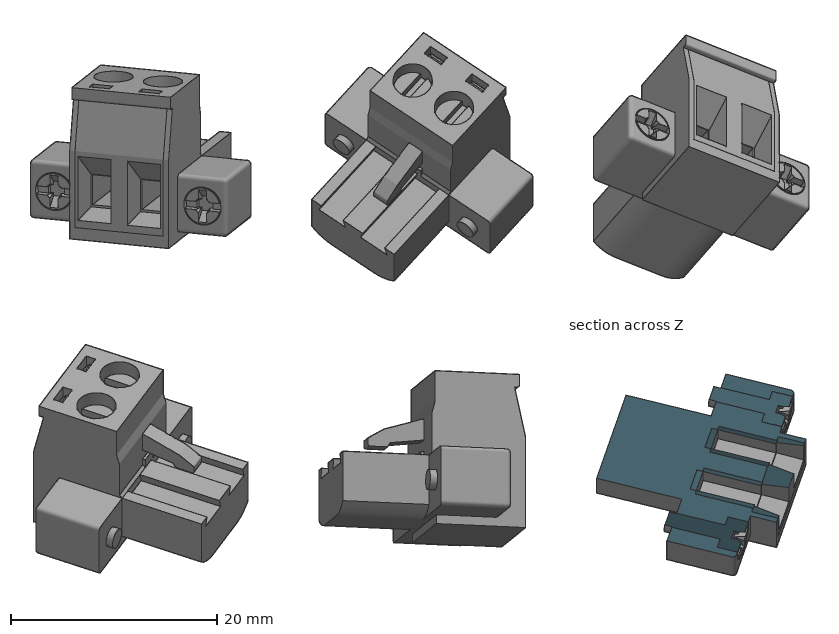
import cadquery as cq
import math

pitch = 5.08
width = 2 * pitch
height = 15.1
half_width = width / 2
terminal_xs = (-pitch / 2, pitch / 2)
flange_screw_xs = (-1.5 * pitch, 1.5 * pitch)

lip_front_y = 0.6
lip_bottom_z = 13.84
lip_radius = 0.2
slope_top_y = 1.1
slope_bottom_z = 8.9
back_top_y = 9.02
back_slope_top_z = 12.0
back_slope_bottom_z = 10.97
back_y = 9.33
base_back_y = 8.9

plug_start_y = 9.61
plug_end_y = 18.2
plug_bottom_z = 0.87
plug_top_z = 6.75
plug_foot = plug_start_y - back_y
plug_round_z = 1.85
groove_inner_x = 1.2
groove_outer_x = 3.9
groove_depth = 0.98
groove_undercut = 0.26

latch_width = 1.67
latch_x = -0.8
latch_bend_y = 13.29
latch_bend_z = 9.8
latch_hook_y = 12.92
latch_hook_root_y = 12.64
latch_hook_root_z = 8.47
latch_root_bottom_z = 8.88
latch_tip_y = 14.9
latch_tip_radius = 0.2
latch_tip_bottom_z = 8.05
latch_tip_top_z = 8.85
rib_top_z = 7.72

flange_front_y = 2.65
flange_radius = 0.4
flange_z = (plug_bottom_z + plug_top_z) / 2

insert_width = 9.06
insert_bottom_z = 1.2
insert_depth = 2.65
tongue_width = 1.63
tongue_top_z = 14.39
tongue_chamfer = 0.49
funnel_mouth_width = 3.37
funnel_mouth_bottom_z = 1.95
funnel_mouth_top_z = 8.41
funnel_throat_width = 2.58
funnel_throat_bottom_z = 2.65
funnel_throat_top_z = 5.95
window_width = 2.05
window_front_y = 1.45
window_back_y = 2.44

screw_diameter = 3.8
screw_y = 5.57
screw_sink = 1.42
screw_top_z = height - screw_sink
screw_edge_radius = 0.22
screw_head_height = 1.63
screw_slot_width = 0.85
screw_slot_depth = 0.81
shank_diameter = 2.0

cage_wall = 0.4
cavity_width = 2.25
cavity_bottom_z = 2.87
cavity_top_z = 5.9
cage_top_wall = 0.81
cage_length = 2 * (screw_y - insert_depth)
cage_back_y = insert_depth + cage_length

contact_thickness = 0.6

flange_head_length = 2.03
flange_edge_chamfer = 0.08
flange_screw_end_y = 10.32
cross_slot_width = 0.83
cross_slot_depth = 0.73
cross_arm_reach = 1.63
recess_depth = 1.04
recess_mouth_half_width = 1.05
recess_floor_half_width = 0.73
recess_corner_mouth = 0.81
recess_corner_floor = 0.59


def box(x_size, y_range, z_range, x=0.0):
    """Box centred on x, spanning the given Y and Z ranges."""
    y0, y1 = y_range
    z0, z1 = z_range
    return cq.Workplane("XY").box(x_size, y1 - y0, z1 - z0).translate((x, (y0 + y1) / 2, (z0 + z1) / 2))


def side_prism(points, x_size, x=0.0):
    """Closed (Y, Z) outline extruded along X and centred on x."""
    return cq.Workplane("YZ").polyline(points).close().extrude(x_size / 2, both=True).translate((x, 0, 0))


def upright(diameter, bottom_z, top_z, x):
    """Vertical cylinder on a terminal screw axis."""
    return cq.Workplane("XY", origin=(x, screw_y, bottom_z)).circle(diameter / 2).extrude(top_z - bottom_z)


def along_y(diameter, start_y, end_y, x):
    """Cylinder on a flange screw axis."""
    plane = cq.Workplane("XZ", origin=(x, start_y, flange_z))
    return plane.circle(diameter / 2).extrude(start_y - end_y)


def make_main_block():
    block = side_prism(
        [
            (0, 0),
            (0, slope_bottom_z),
            (slope_top_y, lip_bottom_z),
            (lip_front_y, lip_bottom_z),
            (lip_front_y, height),
            (back_top_y, height),
            (back_top_y, back_slope_top_z),
            (back_y, back_slope_bottom_z),
            (back_y, plug_top_z + plug_foot),
            (plug_start_y, plug_top_z),
            (plug_start_y, plug_bottom_z),
            (base_back_y, plug_bottom_z),
            (base_back_y, 0),
        ],
        width,
    )
    lip_edge = cq.selectors.NearestToPointSelector((0, lip_front_y, lip_bottom_z))
    return block.edges(lip_edge).fillet(lip_radius)


def make_plug():
    round_x = half_width - pitch / 2
    round_height = plug_round_z - plug_bottom_z
    radius = (round_x**2 + round_height**2) / (2 * round_height)
    mid_angle = math.asin(round_x / radius) / 2
    mid_x = pitch / 2 + radius * math.sin(mid_angle)
    mid_z = plug_bottom_z + radius * (1 - math.cos(mid_angle))
    profile = (
        cq.Workplane("XZ", origin=(0, plug_start_y, 0))
        .moveTo(-half_width, plug_top_z)
        .lineTo(-half_width, plug_round_z)
        .threePointArc((-mid_x, mid_z), (-pitch / 2, plug_bottom_z))
        .lineTo(pitch / 2, plug_bottom_z)
        .threePointArc((mid_x, mid_z), (half_width, plug_round_z))
        .lineTo(half_width, plug_top_z)
        .close()
    )
    plug = profile.extrude(plug_start_y - plug_end_y)
    floor_z = plug_top_z - groove_depth
    for side in (-1, 1):
        groove = (
            cq.Workplane("XZ", origin=(0, plug_start_y, 0))
            .moveTo(side * groove_inner_x, plug_top_z)
            .lineTo(side * groove_outer_x, plug_top_z)
            .lineTo(side * (groove_outer_x + groove_undercut), floor_z)
            .lineTo(side * (groove_inner_x - groove_undercut), floor_z)
            .close()
            .extrude(plug_start_y - plug_end_y)
        )
        plug = plug.cut(groove)
    return plug


def make_latch():
    arm = side_prism(
        [
            (back_y, back_slope_bottom_z),
            (latch_bend_y, latch_bend_z),
            (latch_tip_y, latch_tip_top_z),
            (latch_tip_y, latch_tip_bottom_z),
            (latch_hook_y, latch_tip_bottom_z),
            (latch_hook_root_y, latch_hook_root_z),
            (back_y, latch_root_bottom_z),
        ],
        latch_width,
        latch_x,
    )
    arm = arm.faces(">Y").edges("|X").fillet(latch_tip_radius)
    rib = box(latch_width, (back_y, plug_start_y), (plug_top_z, rib_top_z), latch_x)
    return arm.union(rib)


def make_flanges():
    bar = box(4 * pitch, (flange_front_y, plug_start_y), (plug_bottom_z, plug_top_z))
    return bar.faces("<Y or <X or >X").edges("not >Y").fillet(flange_radius)


def make_insert():
    """Wire-entry insert with a funnel per terminal and tongues that snap into the lip."""
    body = side_prism(
        [
            (0, insert_bottom_z),
            (0, slope_bottom_z),
            (slope_top_y, lip_bottom_z),
            (insert_depth, lip_bottom_z),
            (insert_depth, insert_bottom_z),
        ],
        insert_width,
    )
    for x in terminal_xs:
        body = body.union(make_tongue(x)).cut(make_funnel(x))
    return body


def make_tongue(x):
    tongue_slope_y = window_front_y + tongue_chamfer
    return side_prism(
        [
            (window_front_y, lip_bottom_z),
            (window_front_y, tongue_top_z - tongue_chamfer),
            (tongue_slope_y, tongue_top_z),
            (window_back_y, tongue_top_z),
            (window_back_y, lip_bottom_z),
        ],
        tongue_width,
        x,
    )


def make_funnel(x):
    mouth_height = funnel_mouth_top_z - funnel_mouth_bottom_z
    throat_height = funnel_throat_top_z - funnel_throat_bottom_z
    mouth_z = funnel_mouth_bottom_z + mouth_height / 2
    throat_z = funnel_throat_bottom_z + throat_height / 2
    return (
        cq.Workplane("XZ", origin=(x, 0, mouth_z))
        .rect(funnel_mouth_width, mouth_height)
        .workplane(offset=-insert_depth)
        .center(0, throat_z - mouth_z)
        .rect(funnel_throat_width, throat_height)
        .loft(ruled=True)
    )


def make_terminal_screw(x):
    head_bottom_z = screw_top_z - screw_head_height
    head = upright(screw_diameter, head_bottom_z, screw_top_z, x).faces(">Z").edges().fillet(screw_edge_radius)
    slot = box(
        screw_slot_width,
        (screw_y - screw_diameter, screw_y + screw_diameter),
        (screw_top_z - screw_slot_depth, screw_top_z),
        x,
    )
    return head.cut(slot).union(upright(shank_diameter, cavity_top_z, head_bottom_z, x))


def cage_block(x):
    return box(
        cavity_width + 2 * cage_wall,
        (insert_depth, cage_back_y),
        (cavity_bottom_z - cage_wall, cavity_top_z + cage_top_wall),
        x,
    )


def make_cage(x):
    cavity = box(cavity_width, (insert_depth, cage_back_y), (cavity_bottom_z, cavity_top_z), x)
    screw_hole = upright(shank_diameter, cavity_top_z, cavity_top_z + cage_top_wall, x)
    return cage_block(x).cut(cavity).cut(screw_hole)


def make_contact(x):
    return box(
        cavity_width,
        (cage_back_y, cage_back_y + contact_thickness),
        (cavity_bottom_z, cavity_top_z),
        x,
    )


def flange_screw_blank(x):
    head_end_y = flange_front_y + flange_head_length
    head = along_y(screw_diameter, flange_front_y, head_end_y, x)
    return head.union(along_y(shank_diameter, head_end_y, flange_screw_end_y, x))


def recess_frustum(x, mouth, floor, turn=0):
    """Recess narrowing from a (width, height) mouth to its floor, turned about the screw axis."""
    return (
        cq.Workplane("XZ", origin=(x, flange_front_y, flange_z))
        .transformed(rotate=(0, 0, turn))
        .rect(*mouth)
        .workplane(offset=-recess_depth)
        .rect(*floor)
        .loft(ruled=True)
    )


def make_flange_screw(x):
    screw = flange_screw_blank(x).faces("<Y").edges().chamfer(flange_edge_chamfer)
    straight_slot = box(
        screw_diameter,
        (flange_front_y, flange_front_y + cross_slot_depth),
        (flange_z - cross_slot_width / 2, flange_z + cross_slot_width / 2),
        x,
    )
    floor_y = flange_front_y + recess_depth
    tapered_slot = side_prism(
        [
            (flange_front_y, flange_z - cross_arm_reach),
            (flange_front_y, flange_z + cross_arm_reach),
            (floor_y, flange_z + recess_floor_half_width),
            (floor_y, flange_z - recess_floor_half_width),
        ],
        cross_slot_width,
        x,
    )
    center_well = recess_frustum(
        x,
        (2 * recess_mouth_half_width, cross_slot_width),
        (2 * recess_floor_half_width, cross_slot_width),
    )
    corner_mouth_width = 2 * recess_corner_mouth
    corner_floor_width = 2 * recess_corner_floor
    corners = recess_frustum(
        x,
        (corner_mouth_width, corner_mouth_width),
        (corner_floor_width, corner_floor_width),
        turn=45,
    ).intersect(
        box(
            2 * recess_floor_half_width,
            (flange_front_y, floor_y),
            (flange_z - recess_floor_half_width, flange_z + recess_floor_half_width),
            x,
        )
    )
    return screw.cut(straight_slot).cut(tapered_slot).cut(center_well).cut(corners)


def make_housing():
    body = make_main_block().union(make_flanges()).union(make_plug()).union(make_latch())
    body = body.cut(box(insert_width, (0, insert_depth), (insert_bottom_z, lip_bottom_z)))
    for x in terminal_xs:
        window = box(window_width, (window_front_y, window_back_y), (lip_bottom_z, height), x)
        head_hole = upright(screw_diameter, screw_top_z - screw_head_height, height, x)
        shank_hole = upright(shank_diameter, cavity_top_z, screw_top_z - screw_head_height, x)
        cage_pocket = cage_block(x)
        body = body.cut(window).cut(head_hole).cut(shank_hole).cut(cage_pocket).cut(make_contact(x))
    for x in flange_screw_xs:
        body = body.cut(flange_screw_blank(x))
    return body


housing = make_housing()
insert = make_insert()
terminal_screws = [make_terminal_screw(x).val() for x in terminal_xs]
cages = [make_cage(x).val() for x in terminal_xs]
contacts = [make_contact(x).val() for x in terminal_xs]
flange_screws = [make_flange_screw(x).val() for x in flange_screw_xs]

result = cq.Compound.makeCompound(
    [
        housing.val(),
        insert.val(),
        *terminal_screws,
        *cages,
        *contacts,
        *flange_screws,
    ]
)